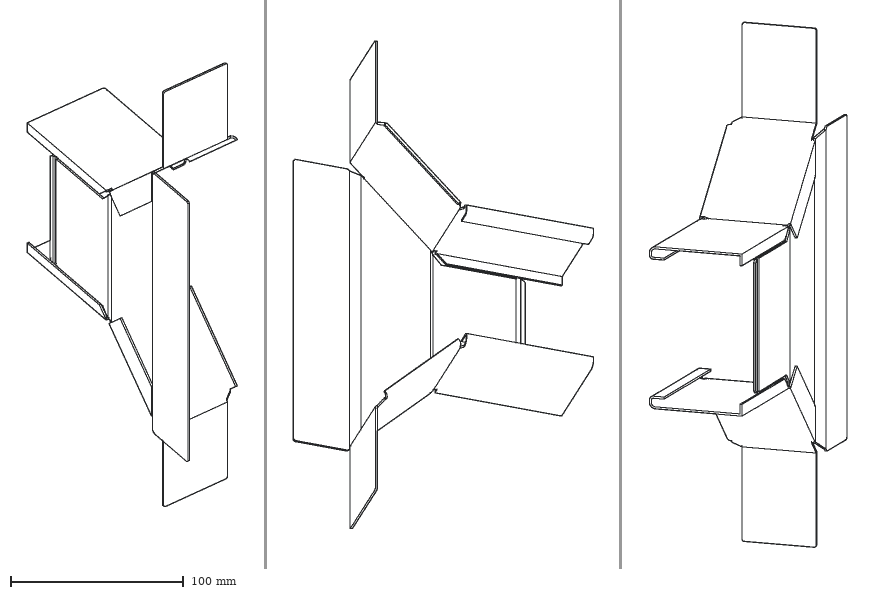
import cadquery as cq
import math

sheet = 1.25
overall_length = 163.11
overall_depth = 61.25
overall_width = 308.27
half_channel = 48.15
fold_angle = 45
fold_x = 79.4
tab_back_x = 130.5
wall_depth = 57.25

bend_radius = 3.75
bend_inner_radius = bend_radius - sheet
curl_radius = 2.5
curl_inner_radius = curl_radius - sheet
hook_width = 7.5
return_lip_depth = 9.1
straight_end_x = 77.6
straight_flange_width = 7.0
straight_flange_end_x = 76.6
flare_flange_width = 15.5
flare_start = 1.2
flare_flange_end_x = 121.8
back_bend_end_x = 125.3
front_relief_depth = 3.6
front_relief_chamfer = 1.7
back_relief_depth = 7.0
back_relief_shoulder = 4.9
tab_relief_x = 121.5
tab_shoulder_x = 126.4
tab_bottom = 2 * sheet
tab_top = 48.4
tab_corner_radius = 1.5

tongue_start_x = 22.6
tongue_half_width = 39.6
tongue_corner = 1.6
tongue_widening_x = 74.0
joggle_start_x = 79.2
joggle_end_x = 81.0
plate_start_half_width = 45.5
plate_clearance = 0.4
drop_start_x = 123.0
strip_half_length = 96.5
strip_corner = 1.0
bead_start_x = 25.5
bead_width = 3.0
bead_height = 1.4

half_width = overall_width / 2
diagonal = math.sqrt(2)
fold_setback = sheet * math.tan(math.radians(fold_angle / 2))
tab_front_x = tab_back_x - sheet
flare_top_z = half_channel + tab_front_x - fold_x
inner_wall_z = half_channel - sheet
strip_bottom = wall_depth - overall_depth
flat_wall_depth = wall_depth - bend_radius
drop_end_x = drop_start_x + sheet - strip_bottom
arc_mid = math.sqrt(0.5)


def depth_prism(points, y0, y1):
    """Extrude an outline of (x, z) points along Y."""
    return cq.Workplane("XZ").polyline(points).close().extrude(-(y1 - y0)).translate((0, y0, 0))


def width_prism(points, z0, z1):
    """Extrude an outline of (x, y) points along Z."""
    return cq.Workplane("XY").polyline(points).close().extrude(z1 - z0).translate((0, 0, z0))


def folded_wall():
    """Straight wall, 45 degree flare and end tab as one folded strip."""
    outline = [
        (0, half_channel),
        (fold_x, half_channel),
        (tab_front_x, flare_top_z),
        (tab_front_x, half_width),
        (tab_back_x, half_width),
        (tab_back_x, flare_top_z - sheet * (diagonal - 1)),
        (fold_x + fold_setback, inner_wall_z),
        (0, inner_wall_z),
    ]
    return depth_prism(outline, 0, flat_wall_depth)


def fold_reliefs():
    """Notches at the fold between the straight wall and the flare."""
    front = [
        (straight_end_x, 0),
        (straight_end_x, front_relief_depth),
        (fold_x, front_relief_depth),
        (fold_x, front_relief_chamfer),
        (fold_x + front_relief_chamfer, 0),
    ]
    back = [
        (straight_end_x, wall_depth),
        (straight_end_x, wall_depth - back_relief_shoulder),
        (fold_x, wall_depth - back_relief_depth),
        (fold_x + flare_start / diagonal, flat_wall_depth),
        (fold_x + flare_start / diagonal, wall_depth),
    ]
    z_range = (inner_wall_z - sheet, half_channel + 2 * sheet)
    return width_prism(front, *z_range).union(width_prism(back, *z_range))


def tab_reliefs():
    """Clear the wall in front of and behind the end tab."""
    front = [
        (tab_relief_x, 0),
        (tab_relief_x, tab_bottom),
        (tab_back_x, tab_bottom),
        (tab_back_x, 0),
    ]
    back = [
        (tab_shoulder_x, wall_depth),
        (tab_shoulder_x, flat_wall_depth),
        (tab_front_x, tab_top),
        (tab_back_x, tab_top),
        (tab_back_x, wall_depth),
    ]
    return width_prism(front, 0, half_width).union(width_prism(back, 0, half_width))


def straight_hook():
    """Back bend, back flange and return lip of the straight wall."""
    lip_z = half_channel - hook_width
    bend_z = half_channel - bend_radius
    curl_y = wall_depth - curl_radius
    curl_z = lip_z + curl_radius
    inner_back = wall_depth - sheet
    lip_end = wall_depth - return_lip_depth
    profile = (
        cq.Workplane("YZ")
        .moveTo(flat_wall_depth, half_channel)
        .threePointArc(
            (flat_wall_depth + bend_radius * arc_mid, bend_z + bend_radius * arc_mid),
            (wall_depth, bend_z),
        )
        .lineTo(wall_depth, curl_z)
        .threePointArc(
            (curl_y + curl_radius * arc_mid, curl_z - curl_radius * arc_mid),
            (curl_y, lip_z),
        )
        .lineTo(lip_end, lip_z)
        .lineTo(lip_end, lip_z + sheet)
        .lineTo(curl_y, lip_z + sheet)
        .threePointArc(
            (curl_y + curl_inner_radius * arc_mid, curl_z - curl_inner_radius * arc_mid),
            (inner_back, curl_z),
        )
        .lineTo(inner_back, bend_z)
        .threePointArc(
            (flat_wall_depth + bend_inner_radius * arc_mid, bend_z + bend_inner_radius * arc_mid),
            (flat_wall_depth, inner_wall_z),
        )
        .close()
    )
    return profile.extrude(straight_end_x)


def straight_flange():
    """Front flange of the straight wall, with its end cut at 45 degrees."""
    edge_z = half_channel - straight_flange_width
    outline = [
        (0, half_channel),
        (straight_flange_end_x, half_channel),
        (straight_flange_end_x, inner_wall_z),
        (straight_flange_end_x - straight_flange_width + sheet, edge_z),
        (0, edge_z),
    ]
    return depth_prism(outline, 0, sheet)


def flare_flange():
    """Front flange of the flare; its first end is square to the flare."""
    start_x = fold_x + flare_start / diagonal
    start_z = half_channel + flare_start / diagonal
    reach = flare_flange_width / diagonal
    end_z = half_channel + flare_flange_end_x - fold_x
    outline = [
        (start_x, start_z),
        (flare_flange_end_x, end_z),
        (flare_flange_end_x, end_z - flare_flange_width * diagonal),
        (start_x + reach, start_z - reach),
    ]
    return depth_prism(outline, 0, sheet)


def flare_back_bend():
    """Quarter-round bend along the back edge of the flare."""
    length = (back_bend_end_x - fold_x) * diagonal - flare_start
    bend = (
        cq.Workplane("YZ")
        .moveTo(flat_wall_depth, 0)
        .threePointArc(
            (flat_wall_depth + bend_radius * arc_mid, bend_radius * (arc_mid - 1)),
            (wall_depth, -bend_radius),
        )
        .lineTo(wall_depth - sheet, -bend_radius)
        .threePointArc(
            (flat_wall_depth + bend_inner_radius * arc_mid, bend_inner_radius * arc_mid - bend_radius),
            (flat_wall_depth, -sheet),
        )
        .close()
        .extrude(length)
        .translate((flare_start, 0, 0))
    )
    return bend.rotate((0, 0, 0), (0, 1, 0), -fold_angle).translate((fold_x, 0, half_channel))


def side_part():
    wall = folded_wall().cut(fold_reliefs()).cut(tab_reliefs())
    wall = wall.faces(">Z").edges("|X").fillet(tab_corner_radius)
    return (
        wall.union(straight_hook())
        .union(straight_flange())
        .union(flare_flange())
        .union(flare_back_bend())
    )


def base_profile():
    """Long section of the base: tongue with bead, joggle, plate, 45 degree drop and strip."""
    bead_middle = bead_start_x + bead_width / 2
    bead_end = bead_start_x + bead_width
    strip_top = strip_bottom + sheet
    return (
        cq.Workplane("XY")
        .moveTo(tongue_start_x, 0)
        .lineTo(bead_start_x, 0)
        .threePointArc((bead_middle, bead_height), (bead_end, 0))
        .lineTo(joggle_start_x, 0)
        .lineTo(joggle_end_x, sheet)
        .lineTo(drop_start_x, sheet)
        .lineTo(drop_end_x, strip_bottom)
        .lineTo(overall_length, strip_bottom)
        .lineTo(overall_length, strip_top)
        .lineTo(drop_end_x + fold_setback, strip_top)
        .lineTo(drop_start_x + fold_setback, 2 * sheet)
        .lineTo(joggle_end_x, 2 * sheet)
        .lineTo(joggle_start_x, sheet)
        .lineTo(bead_end, sheet)
        .threePointArc((bead_middle, sheet + bead_height), (bead_start_x, sheet))
        .lineTo(tongue_start_x, sheet)
        .close()
        .extrude(half_width, both=True)
    )


def base_outline():
    """Front outline of the base: tongue, plate fitted between the flares, and strip."""
    inner_flare_z = inner_wall_z - fold_x - fold_setback
    edge_offset = inner_flare_z - plate_clearance
    edge = [
        (tongue_start_x, tongue_half_width - tongue_corner),
        (tongue_start_x + tongue_corner, tongue_half_width),
        (tongue_widening_x, tongue_half_width),
        (joggle_start_x, plate_start_half_width),
        (plate_start_half_width - edge_offset, plate_start_half_width),
        (strip_half_length - edge_offset, strip_half_length),
        (overall_length - strip_corner, strip_half_length),
        (overall_length, strip_half_length - strip_corner),
    ]
    other_edge = [(x, -z) for x, z in reversed(edge)]
    return depth_prism(edge + other_edge, strip_bottom - sheet, wall_depth)


upper_side = side_part()
sides = []
for side in (upper_side, upper_side.mirror("XY")):
    sides.extend(side.solids().vals())
base_plate = base_profile().intersect(base_outline())

result = cq.Compound.makeCompound([*sides, *base_plate.solids().vals()])